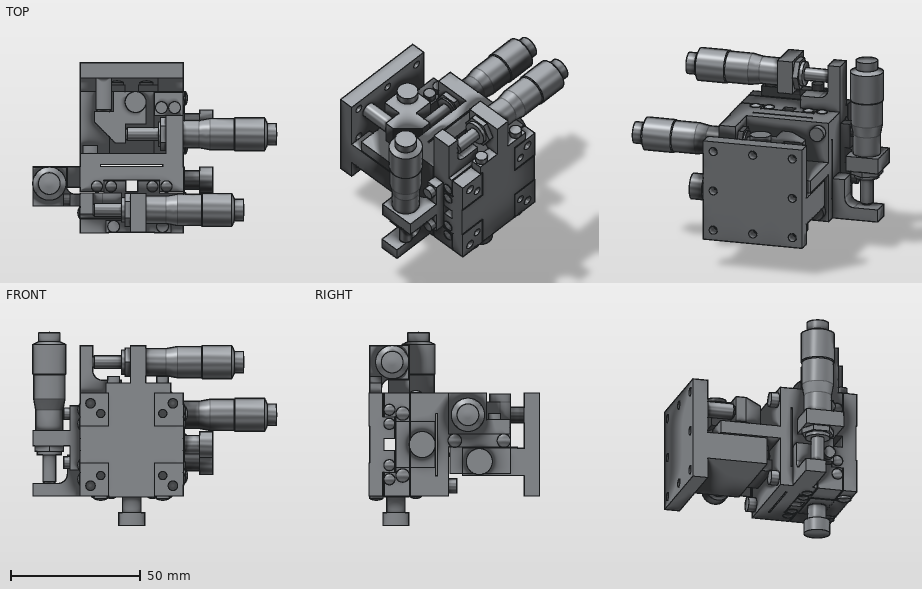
import cadquery as cq
import math


stage_size = 40.0
half = stage_size / 2
total_depth = 66.0
stage_pitch = 10.2
pad_thickness = 0.3

slide_back = 5.4
guide_face = 5.9
block_back = 10.0
channel_floor = 10.3
block_half = 10.75
slot_half = 2.25
end_screw_y = 7.9
slide_screw_offset = 8.0
guide_screw_offset = 13.45
end_screw_radius = 2.15
end_screw_rim = 0.2
end_screw_dome = 0.7
pan_radius = 2.6
pan_rim = 0.9
pan_dome = 0.7
pan_offset = 12.0

bracket_left = -9.9
bracket_right = 15.1
bracket_back = 4.9
bracket_base_top = 23.9
holder_left = -0.5
holder_thickness = 6.0
holder_back = 15.3
holder_underside = 25.3
holder_fillet = 3.5
arm_top = half + 18.3
arm_front = 7.5
arm_back = 15.6
arm_foot_end = -4.0
arm_thickness = 4.95
arm_foot_top = half + arm_thickness
arm_fillet = 3.7
cap_screw_radius = 2.3
cap_screw_height = 2.5
bracket_screw_x = (-7.0, 11.9)
axis_height = 31.9
axis_y = 9.0

lock_y = 10.4
lock_shaft_radius = 3.6
lock_shaft_length = 6.3
lock_knob_radius = 5.05
lock_knob_length = 5.05
lock_plate_thickness = 0.35
lock_plate_half = 8.9
lock_plate_back = 15.4

tip_chamfer = 0.7
spindle_radius = 2.5
thread_radius = 4.75
sleeve_radius = 5.3
thimble_radius = 6.1
grip_radius = 6.45
cap_radius = 4.2
sleeve_end = 28.4
cone_end = 32.7
thimble_end = 42.0
grip_start = 42.4
grip_end = 53.75
cap_start = 54.85
cap_end = 58.3
micrometer_length = 58.5
nut_thickness = 2.1
nut_across_corners = 12.8
thread_overhang = 1.4

bracket_plate_back = 30.8
flexure_y = 26.2
flexure_width = 0.6
flexure_half = 12.0
shelf_top = 4.0
shelf_bottom = -0.9
shelf_end = 54.8
groove_half = 8.55
groove_depth = 0.5
rail_block_half = 10.1
rail_block_start = 32.8
rail_block_end = 57.4
rail_block_bottom = -6.4
rail_slot_half = 2.7
rail_screw_x = 5.7
rail_screw_z = -4.0
plate_face = 60.0
rail_start = 36.1
rail_top = -1.4
rail_floor = -6.6
rail_bottom = -12.0
rail_stop_front = 31.3
rail_stop_bottom = -11.3
shelf_pan_y = (33.2, 52.2)
shelf_pan_z = 1.5
mid_travel = sum(shelf_pan_y) / len(shelf_pan_y)
bracket_screw_offset = 16.0
plate_screw_radius = 2.8
plate_screw_height = 3.2

y_holder_left = 13.3
y_holder_right = 19.8
y_holder_back = 45.5
y_foot_left = 8.9
y_foot_top = 9.6
y_foot_end = 54.5
y_foot_screw_x = (11.5, 16.6)
y_foot_screw_y = 48.6
y_axis_y = 38.3
y_axis_z = 11.5
y_thread_overhang = 0.8

lever_bottom = 6.5
lever_top = 16.5
pivot_x = 1.5
pivot_y = 50.75
pivot_radius = 4.05
pivot_head_top = 19.6
lever_left = -7.0
lever_nose = -14.4
lever_push_face = 47.0
lever_bevel_y = 43.0
lever_bottom_y = 34.9
lever_bevel_x = -6.4
lever_drive_face = -2.35
lever_step_y = 42.3
rod_x = -10.8
rod_z = 11.4
rod_radius = 3.05
rod_chamfer = 0.8

mount_pitch = 16.0
mount_hole_radius = 1.6
pad_inner_x = 8.9
pad_inner_z = 7.1
pad_outer_hole = 15.95
pad_outer_radius = 1.85
pad_inner_hole = 12.0
pad_inner_radius = 1.6
pad_hole_depth = 5.0


def box(x0, x1, y0, y1, z0, z1):
    corner = cq.Vector(x0, y0, z0)
    return cq.Workplane(cq.Solid.makeBox(x1 - x0, y1 - y0, z1 - z0, corner))


def rod(base, direction, radius, length):
    return cq.Workplane(cq.Solid.makeCylinder(radius, length, cq.Vector(*base), cq.Vector(*direction)))


def domed_head(base, direction, radius, rim, dome):
    """Screw head with a cylindrical rim and a shallow spherical top, along a main axis."""
    axis = cq.Vector(*direction)
    across = cq.Vector(axis.z, axis.x, axis.y)
    sphere_radius = (radius**2 + dome**2) / (2 * dome)
    mid_radius = radius / 2
    mid_height = rim + dome - sphere_radius + math.sqrt(sphere_radius**2 - mid_radius**2)
    return (
        cq.Workplane(cq.Plane(origin=base, xDir=across, normal=across.cross(axis)))
        .lineTo(radius, 0)
        .lineTo(radius, rim)
        .threePointArc((mid_radius, mid_height), (0, rim + dome))
        .close()
        .revolve(360, (0, 0, 0), (0, 1, 0))
    )


def end_screws(offset):
    """Domed screws on both X ends of a slide or guide."""
    screws = cq.Workplane("XY")
    for side in (-1, 1):
        for z in (-offset, offset):
            base = (side * half, end_screw_y, z)
            head = domed_head(base, (side, 0, 0), end_screw_radius, end_screw_rim, end_screw_dome)
            screws = screws.add(head)
    return screws.combine()


def to_vertical(part):
    """Turn an X stage part into the Z stage behind it: X becomes Z and +Z becomes -X."""
    return part.rotate((0, 0, 0), (0, 1, 0), -90).translate((0, stage_pitch, 0))


def micrometer_bracket():
    """Screwed base strip along the top edge with an L-shaped micrometer holder."""
    base = box(bracket_left, bracket_right, pad_thickness, bracket_back, half, bracket_base_top)
    fillet_mid = holder_fillet * (1 - math.sqrt(0.5))
    holder = (
        cq.Workplane("YZ", origin=(holder_left, 0, 0))
        .moveTo(pad_thickness, half)
        .lineTo(bracket_back, half)
        .lineTo(bracket_back, holder_underside - holder_fillet)
        .threePointArc(
            (bracket_back + fillet_mid, holder_underside - fillet_mid),
            (bracket_back + holder_fillet, holder_underside),
        )
        .lineTo(holder_back, holder_underside)
        .lineTo(holder_back, arm_top)
        .lineTo(pad_thickness, arm_top)
        .close()
        .extrude(holder_thickness)
    )
    bore = rod((holder_left, axis_y, axis_height), (1, 0, 0), thread_radius, holder_thickness)
    bracket = base.union(holder).cut(bore)
    screw_y = (pad_thickness + bracket_back) / 2
    for x in bracket_screw_x:
        bracket = bracket.union(
            rod((x, screw_y, bracket_base_top), (0, 0, 1), cap_screw_radius, cap_screw_height)
        )
    return bracket


def slide():
    """Moving side of a stage: plate, slotted block, screws and micrometer bracket."""
    body = box(-half, half, pad_thickness, slide_back, -half, half)
    block = box(-half, half, slide_back, block_back, -block_half, block_half)
    slot = box(-half, half, guide_face, block_back, -slot_half, slot_half)
    body = body.union(block.cut(slot)).union(end_screws(slide_screw_offset))
    pan_y = (pad_thickness + slide_back) / 2
    for x in (-pan_offset, pan_offset):
        body = body.union(domed_head((x, pan_y, -half), (0, 0, -1), pan_radius, pan_rim, pan_dome))
    plate_bottom = -half - lock_plate_thickness
    lock_plate = box(
        -lock_plate_half, lock_plate_half, pad_thickness, lock_plate_back, plate_bottom, -half
    )
    shaft_hole = rod((0, lock_y, plate_bottom), (0, 0, 1), lock_shaft_radius, lock_plate_thickness)
    return body.union(lock_plate.cut(shaft_hole)).union(micrometer_bracket())


def stop_arm():
    """L-shaped arm that the spindle tip presses against."""
    inner = arm_thickness - half
    fillet_mid = arm_fillet * (1 - math.sqrt(0.5))
    return (
        cq.Workplane("XZ", origin=(0, arm_back, 0))
        .moveTo(-half, half)
        .lineTo(arm_foot_end, half)
        .lineTo(arm_foot_end, arm_foot_top)
        .lineTo(inner + arm_fillet, arm_foot_top)
        .threePointArc(
            (inner + fillet_mid, arm_foot_top + fillet_mid),
            (inner, arm_foot_top + arm_fillet),
        )
        .lineTo(inner, arm_top)
        .lineTo(-half, arm_top)
        .close()
        .extrude(arm_back - arm_front)
    )


def lock_screw(base, direction):
    shaft = rod(base, direction, lock_shaft_radius, lock_shaft_length)
    knob_base = cq.Vector(*base) + cq.Vector(*direction) * lock_shaft_length
    return shaft.union(rod(knob_base.toTuple(), direction, lock_knob_radius, lock_knob_length))


def guide(back):
    """Fixed side of a stage: channelled slab back to the given Y, screws, arm and lock."""
    body = box(-half, half, guide_face, back, -half, half)
    body = body.cut(box(-half, half, guide_face, channel_floor, -block_half, block_half))
    body = body.union(end_screws(guide_screw_offset))
    return body.union(stop_arm()).union(lock_screw((0, lock_y, -half), (0, 0, -1)))


def micrometer(face, thickness, overhang):
    """Micrometer along +Z with its spindle tip at the origin and its holder at face."""
    thread_start = face - nut_thickness - overhang
    barrel = (
        cq.Workplane("XZ")
        .moveTo(0, 0)
        .lineTo(spindle_radius - tip_chamfer, 0)
        .lineTo(spindle_radius, tip_chamfer)
        .lineTo(spindle_radius, thread_start)
        .lineTo(thread_radius, thread_start)
        .lineTo(thread_radius, face + thickness)
        .lineTo(sleeve_radius, face + thickness)
        .lineTo(sleeve_radius, sleeve_end)
        .lineTo(thimble_radius, cone_end)
        .lineTo(thimble_radius, thimble_end)
        .lineTo(grip_radius, grip_start)
        .lineTo(grip_radius, grip_end)
        .lineTo(cap_radius, cap_start)
        .lineTo(cap_radius, cap_end)
        .lineTo(0, micrometer_length)
        .close()
        .revolve(360, (0, 0, 0), (0, 1, 0))
    )
    nut = (
        cq.Workplane("XY", origin=(0, 0, face - nut_thickness))
        .polygon(6, nut_across_corners)
        .extrude(nut_thickness)
        .rotate((0, 0, 0), (0, 0, 1), 90)
    )
    return barrel.union(nut)


def along_x(part, tip):
    return part.rotate((0, 0, 0), (0, 1, 0), 90).translate(tip)


front_carriage = slide()
for side_x in (-1, 1):
    for side_z in (-1, 1):
        pad_x = sorted((side_x * pad_inner_x, side_x * half))
        pad_z = sorted((side_z * pad_inner_z, side_z * half))
        front_carriage = front_carriage.union(box(*pad_x, 0, pad_thickness, *pad_z))
        for offset, radius in ((pad_outer_hole, pad_outer_radius), (pad_inner_hole, pad_inner_radius)):
            hole = rod((side_x * offset, 0, side_z * offset), (0, 1, 0), radius, pad_hole_depth)
            front_carriage = front_carriage.cut(hole)

middle_carriage = guide(stage_pitch + pad_thickness).union(to_vertical(slide()))


def y_holder():
    foot = box(y_foot_left, y_holder_right, y_holder_back, y_foot_end, shelf_top, y_foot_top)
    post = box(y_holder_left, y_holder_right, bracket_plate_back, y_holder_back, shelf_top, half)
    thickness = y_holder_right - y_holder_left
    bore = rod((y_holder_left, y_axis_y, y_axis_z), (1, 0, 0), thread_radius, thickness)
    holder = foot.union(post).cut(bore)
    for x in y_foot_screw_x:
        base = (x, y_foot_screw_y, y_foot_top)
        holder = holder.union(rod(base, (0, 0, 1), cap_screw_radius, cap_screw_height))
    return holder


def shelf():
    body = box(-half, half, bracket_plate_back, shelf_end, shelf_bottom, shelf_top)
    groove_floor = shelf_top - groove_depth
    return body.cut(
        box(-groove_half, groove_half, bracket_plate_back, shelf_end, groove_floor, shelf_top)
    )


def rail_block():
    """Slotted block under the shelf with domed screws on both ends."""
    y0 = rail_block_start
    y1 = rail_block_end
    block = box(-rail_block_half, rail_block_half, y0, y1, rail_block_bottom, shelf_bottom)
    block = block.cut(box(-rail_slot_half, rail_slot_half, y0, y1, rail_block_bottom, shelf_bottom))
    for x in (-rail_screw_x, rail_screw_x):
        for y, direction in ((y0, -1), (y1, 1)):
            base = (x, y, rail_screw_z)
            block = block.union(domed_head(base, (0, direction, 0), pan_radius, pan_rim, pan_dome))
    return block


def plate_screws():
    """Cap screws on the back of the plate; the Y holder stands over the fourth corner."""
    offset = bracket_screw_offset
    screws = cq.Workplane("XY")
    for x, z in ((-offset, offset), (-offset, -offset), (offset, -offset)):
        base = (x, bracket_plate_back, z)
        screws = screws.add(rod(base, (0, 1, 0), plate_screw_radius, plate_screw_height))
    return screws.combine()


def flexure_slits():
    """Crossed slits that leave the plate joined at its four corners."""
    y0 = flexure_y - flexure_width / 2
    y1 = flexure_y + flexure_width / 2
    upright = box(-flexure_half, flexure_half, y0, y1, -half, half)
    return upright.union(box(-half, half, y0, y1, -flexure_half, flexure_half))


def shelf_lock_plate():
    """Thin plate on the +X side of the shelf, reaching down over the rail."""
    outer = half + lock_plate_thickness
    plate = box(half, outer, rail_stop_front, shelf_end, rail_stop_bottom, shelf_top)
    plate = plate.cut(rod((half, mid_travel, rail_floor), (1, 0, 0), lock_shaft_radius, lock_plate_thickness))
    for y in shelf_pan_y:
        head = domed_head((half, y, shelf_pan_z), (1, 0, 0), pan_radius, pan_rim, pan_dome)
        plate = plate.union(head)
    return plate


shelf_bracket = to_vertical(guide(bracket_plate_back - stage_pitch)).cut(flexure_slits())
shelf_bracket = shelf_bracket.union(plate_screws()).union(shelf()).union(rail_block()).union(y_holder())
shelf_bracket = shelf_bracket.union(shelf_lock_plate())


def mounting_plate_body():
    body = box(-half, half, plate_face, total_depth, -half, half)
    for x in (-mount_pitch, 0, mount_pitch):
        for z in (-mount_pitch, 0, mount_pitch):
            if x == 0 and z == 0:
                continue
            hole = rod((x, plate_face, z), (0, 1, 0), mount_hole_radius, total_depth - plate_face)
            body = body.cut(hole)
    return body


def rail():
    body = box(-half, half, rail_start, plate_face, rail_bottom, rail_top)
    channel = box(-rail_block_half, rail_block_half, rail_start, plate_face, rail_floor, rail_top)
    stop = box(-rail_block_half, rail_block_half, rail_stop_front, rail_start, rail_stop_bottom, rail_floor)
    return body.cut(channel).union(stop)


def push_rod():
    length = plate_face - lever_push_face
    return rod((rod_x, plate_face, rod_z), (0, -1, 0), rod_radius, length).faces("<Y").chamfer(rod_chamfer)


mounting_plate = mounting_plate_body().union(rail()).union(push_rod())
mounting_plate = mounting_plate.union(lock_screw((half, mid_travel, rail_floor), (1, 0, 0)))

lever_right = pivot_x + pivot_radius
lever_back = pivot_y + pivot_radius
arc_reach = pivot_radius * math.sqrt(0.5)
lever = (
    cq.Workplane("XY", origin=(0, 0, lever_bottom))
    .moveTo(lever_left, lever_back)
    .lineTo(lever_left, lever_push_face)
    .lineTo(lever_nose, lever_push_face)
    .lineTo(lever_nose, lever_bevel_y)
    .lineTo(lever_bevel_x, lever_bottom_y)
    .lineTo(lever_drive_face, lever_bottom_y)
    .lineTo(lever_drive_face, lever_step_y)
    .lineTo(lever_right, lever_step_y)
    .lineTo(lever_right, pivot_y)
    .threePointArc((pivot_x + arc_reach, pivot_y + arc_reach), (pivot_x, lever_back))
    .close()
    .extrude(lever_top - lever_bottom)
)
pivot_bottom = shelf_top - groove_depth
pivot = rod((pivot_x, pivot_y, pivot_bottom), (0, 0, 1), pivot_radius, pivot_head_top - pivot_bottom)
lever = lever.union(pivot)

x_tip = (arm_thickness - half, axis_y, axis_height)
stage_micrometer = micrometer(holder_left - x_tip[0], holder_thickness, thread_overhang)
x_micrometer = along_x(stage_micrometer, x_tip)
z_micrometer = to_vertical(x_micrometer)

y_tip = (lever_drive_face, y_axis_y, y_axis_z)
y_face = y_holder_left - lever_drive_face
y_micrometer = along_x(
    micrometer(y_face, y_holder_right - y_holder_left, y_thread_overhang), y_tip
)

bodies = (
    front_carriage,
    middle_carriage,
    shelf_bracket,
    mounting_plate,
    lever,
    x_micrometer,
    y_micrometer,
    z_micrometer,
)
result = cq.Compound.makeCompound([body.solids().val() for body in bodies])